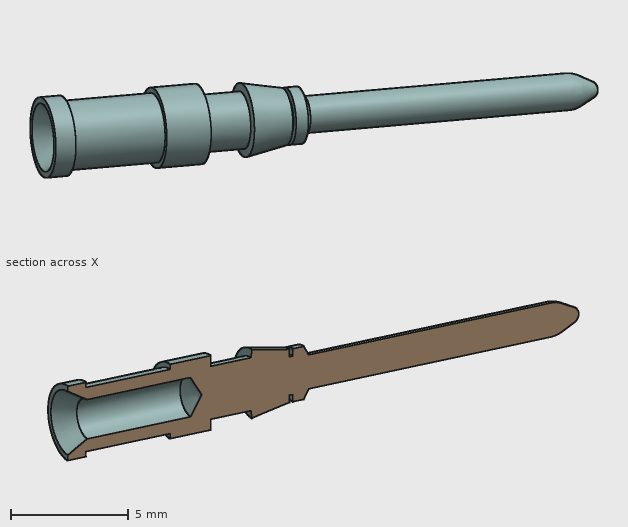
import cadquery as cq
import math


total_length = 25.0
rim_end = 0.9
collar_start = 5.0
collar_end = 7.0
barb_root = 8.95
barb_start = 9.0
barb_end = 10.85
ring_start = 11.0
ring_end = 11.55
pin_start = 11.8

collar_radius = 1.735
barrel_radius = 1.5
neck_radius = 1.24
barb_radius = 1.6
groove_radius = 0.9
pin_radius = 0.8

tip_half_angle = math.radians(27)
shoulder_blend_radius = 1.0
nose_radius = 0.4

bore_mouth_radius = 1.47
bore_radius = 0.9
funnel_depth = 0.95
bore_depth = 6.0
drill_half_angle = math.radians(59)

axis_start = (0, 0, 0)
axis_end = (0, 1, 0)


def nose_point(angle):
    """Point (radius, station) on the ball nose, at an angle from its equator."""
    radius = nose_radius * math.cos(angle)
    station = total_length - nose_radius * (1 - math.sin(angle))
    return radius, station


def blend_point(angle, start):
    """Point (radius, station) on the arc from the pin to the tip cone, turned by an angle."""
    radius = pin_radius - shoulder_blend_radius * (1 - math.cos(angle))
    station = start + shoulder_blend_radius * math.sin(angle)
    return radius, station


def make_body():
    cone_end = nose_point(tip_half_angle)
    nose_middle = nose_point((tip_half_angle + math.pi / 2) / 2)
    cone_base_radius, blend_length = blend_point(tip_half_angle, 0)
    cone_length = (cone_base_radius - cone_end[0]) / math.tan(tip_half_angle)
    tip_start = cone_end[1] - cone_length - blend_length
    cone_base = blend_point(tip_half_angle, tip_start)
    blend_middle = blend_point(tip_half_angle / 2, tip_start)

    profile = (
        cq.Workplane("XY")
        .moveTo(0, 0)
        .lineTo(collar_radius, 0)
        .lineTo(collar_radius, rim_end)
        .lineTo(barrel_radius, rim_end)
        .lineTo(barrel_radius, collar_start)
        .lineTo(collar_radius, collar_start)
        .lineTo(collar_radius, collar_end)
        .lineTo(neck_radius, collar_end)
        .lineTo(neck_radius, barb_root)
        .lineTo(barb_radius, barb_start)
        .lineTo(neck_radius, barb_end)
        .lineTo(groove_radius, barb_end)
        .lineTo(groove_radius, ring_start)
        .lineTo(neck_radius, ring_start)
        .lineTo(neck_radius, ring_end)
        .lineTo(pin_radius, pin_start)
        .lineTo(pin_radius, tip_start)
        .threePointArc(blend_middle, cone_base)
        .lineTo(*cone_end)
        .threePointArc(nose_middle, (0, total_length))
        .close()
    )
    return profile.revolve(360, axis_start, axis_end)


def make_bore():
    drill_point_length = bore_radius / math.tan(drill_half_angle)
    profile = (
        cq.Workplane("XY")
        .moveTo(0, 0)
        .lineTo(bore_mouth_radius, 0)
        .lineTo(bore_radius, funnel_depth)
        .lineTo(bore_radius, bore_depth)
        .lineTo(0, bore_depth + drill_point_length)
        .close()
    )
    return profile.revolve(360, axis_start, axis_end)


result = make_body().cut(make_bore())